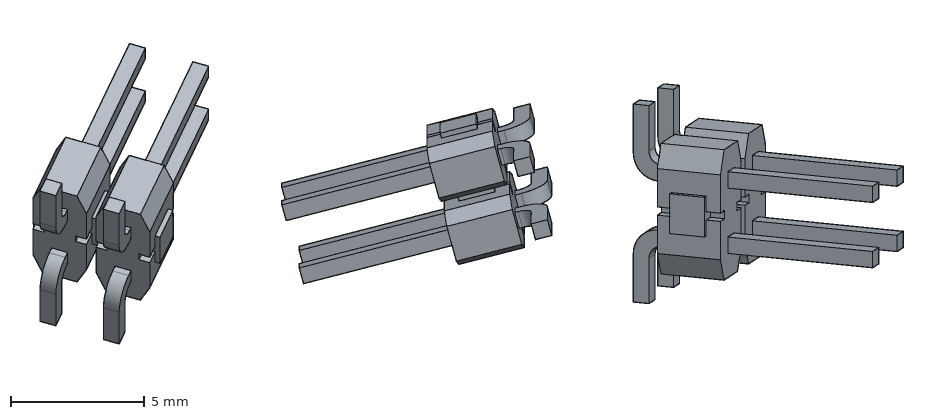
import cadquery as cq


PITCH = 2.54
TOTAL_LENGTH = 9.65
TOTAL_HEIGHT = 7.7

BLOCK_WIDTH = 2.15
BLOCK_DEPTH = 2.55
BLOCK_HEIGHT = 2 * PITCH
BEVEL_WIDTH = 0.38
BEVEL_HEIGHT = 0.89
NOTCH_DEPTH = 0.43
NOTCH_HEIGHT = 0.32

BAR_DEPTH = 1.4
BAR_HEIGHT = 1.54

PIN_SIZE = 0.64
PIN_TIP_LENGTH = 5.84
INNER_BEND_RADIUS = 0.5
OUTER_BEND_RADIUS = 1.01

TOTAL_WIDTH = 2 * PITCH
LEFT_MODULE_X = -PITCH / 2
RIGHT_MODULE_X = PITCH / 2
RIGHT_BLOCK_SIDE_X = RIGHT_MODULE_X - BLOCK_WIDTH / 2

TIP_Y = TOTAL_LENGTH / 2
LEG_FRONT_Y = -TOTAL_LENGTH / 2
LEG_BACK_Y = LEG_FRONT_Y + PIN_SIZE
BLOCK_Y = TIP_Y - PIN_TIP_LENGTH - BLOCK_DEPTH / 2

PIN_BOTTOM_Z = PITCH / 2 - PIN_SIZE / 2
PIN_TOP_Z = PITCH / 2 + PIN_SIZE / 2
LEG_END_Z = TOTAL_HEIGHT / 2


def make_block(centre_x):
    """Block with bevelled long edges and a notch along the middle of each side."""
    half_width = BLOCK_WIDTH / 2
    half_height = BLOCK_HEIGHT / 2
    flat_x = half_width - BEVEL_WIDTH
    shoulder_z = half_height - BEVEL_HEIGHT
    section = cq.Workplane("XZ", origin=(centre_x, BLOCK_Y, 0))
    block = (
        section.polyline([
            (-flat_x, half_height),
            (flat_x, half_height),
            (half_width, shoulder_z),
            (half_width, -shoulder_z),
            (flat_x, -half_height),
            (-flat_x, -half_height),
            (-half_width, -shoulder_z),
            (-half_width, shoulder_z),
        ])
        .close()
        .extrude(BLOCK_DEPTH / 2, both=True)
    )
    notches = (
        section.pushPoints([(-half_width, 0), (half_width, 0)])
        .rect(2 * NOTCH_DEPTH, NOTCH_HEIGHT)
        .extrude(BLOCK_DEPTH / 2, both=True)
    )
    return block.cut(notches)


def make_upper_pin(centre_x):
    """Square pin along Y whose front end bends up into a solder leg."""
    return (
        cq.Workplane("YZ", origin=(centre_x, 0, 0))
        .moveTo(TIP_Y, PIN_BOTTOM_Z)
        .lineTo(LEG_FRONT_Y + OUTER_BEND_RADIUS, PIN_BOTTOM_Z)
        .radiusArc((LEG_FRONT_Y, PIN_BOTTOM_Z + OUTER_BEND_RADIUS), OUTER_BEND_RADIUS)
        .lineTo(LEG_FRONT_Y, LEG_END_Z)
        .lineTo(LEG_BACK_Y, LEG_END_Z)
        .lineTo(LEG_BACK_Y, PIN_TOP_Z + INNER_BEND_RADIUS)
        .radiusArc((LEG_BACK_Y + INNER_BEND_RADIUS, PIN_TOP_Z), -INNER_BEND_RADIUS)
        .lineTo(TIP_Y, PIN_TOP_Z)
        .close()
        .extrude(PIN_SIZE / 2, both=True)
    )


def make_bare_module(centre_x):
    """Block joined with its upper and lower pins."""
    upper_pin = make_upper_pin(centre_x)
    lower_pin = upper_pin.mirror("XY")
    return make_block(centre_x).union(upper_pin).union(lower_pin)


def make_bar(start_x, end_x):
    """Rectangular bar along X at the middle height of the blocks."""
    return (
        cq.Workplane("YZ", origin=(start_x, BLOCK_Y, 0))
        .rect(BAR_DEPTH, BAR_HEIGHT)
        .extrude(end_x - start_x)
    )


def make_socket_module():
    """Right module: its outer side has an end tab and its inner notch is left open."""
    end_tab = make_bar(RIGHT_MODULE_X, TOTAL_WIDTH / 2)
    return make_bare_module(RIGHT_MODULE_X).union(end_tab)


def make_plug_module():
    """Left module: its bar reaches the right block and ends in a tongue that fits the notch."""
    bar = make_bar(-TOTAL_WIDTH / 2, RIGHT_BLOCK_SIDE_X)
    tongue = (
        cq.Workplane("YZ", origin=(RIGHT_BLOCK_SIDE_X, BLOCK_Y, 0))
        .rect(BAR_DEPTH, NOTCH_HEIGHT)
        .extrude(NOTCH_DEPTH)
    )
    return make_bare_module(LEFT_MODULE_X).union(bar).union(tongue)


plug_module = make_plug_module().solids()
socket_module = make_socket_module().solids()

result = cq.Compound.makeCompound([plug_module.val(), socket_module.val()])